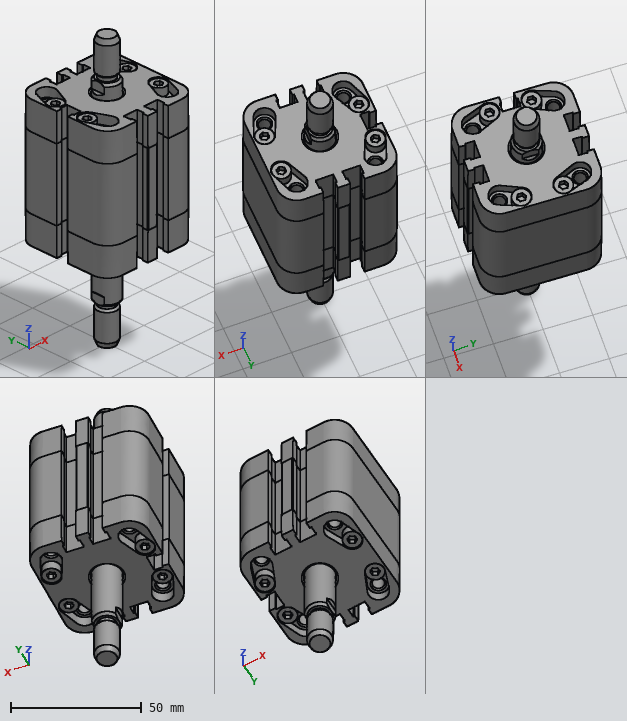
import cadquery as cq
import math


width = 49.0
corner_radius = 8.2
cap_height = 14.2
barrel_length = 35.8
cap_draft = 0.1
draft_angle = math.degrees(math.atan(cap_draft / cap_height))
housing_z = 45.5

slot_mouth = 6.0
slot_undercut = 7.3
slot_lip = 2.8
slot_depth = 6.5
slot_offset = 5.5
rib_bevel = 0.4

rod_dia = 12.0
thread_dia = 10.0
neck_dia = 8.0
tip_dia = 8.0
rod_length = 135
tip_chamfer = 2.5
thread_length = 16.0
neck_end = 18.8
shoulder_chamfer = 1.2
flat_end = 23.2
flats_width = thread_dia

opening_dia = 14.0
opening_throat_dia = 12.5
opening_bevel = 0.7
opening_depth = 2.7

hole_spacing = 32.5
hole_dia = 4.9
hole_mouth_dia = 6.1
pocket_depth = 4.6
pocket_hole_dia = 8.5
pocket_screw_dia = 8.0
screw_x = 19.5
screw_y = 8.5
head_dia = 7.5
head_height = 4.0
socket_size = 3.8
socket_depth = 2.4

half_width = width / 2
hole_place = hole_spacing / 2
barrel_z = housing_z + cap_height
barrel_top_z = barrel_z + barrel_length


def housing_block(height, taper=0):
    """Rounded square prism standing on Z = 0."""
    square = cq.Sketch().rect(width, width).vertices().fillet(corner_radius)
    return cq.Workplane("XY").placeSketch(square).extrude(height, taper=taper)


def t_slot(height):
    """T-slot running along Z and opening at the -Y side, centred on X = 0."""
    undercut_depth = slot_depth - slot_lip
    mouth = cq.Workplane("XY").box(slot_mouth, 2 * slot_lip, height, centered=(True, True, False))
    undercut = cq.Workplane("XY").box(slot_undercut, undercut_depth, height, centered=(True, False, False))
    slot = mouth.union(undercut.translate((0, slot_lip, 0)))
    return slot.translate((0, -half_width, 0))


def cut_t_slots(body, height):
    """Two slots on each Y side and one on the -X side."""
    slot = t_slot(height)
    for side_angle in (0, 180):
        for offset in (-slot_offset, slot_offset):
            paired_slot = slot.translate((offset, 0, 0)).rotate((0, 0, 0), (0, 0, 1), side_angle)
            body = body.cut(paired_slot)
    return body.cut(slot.rotate((0, 0, 0), (0, 0, 1), -90))


def make_barrel():
    body = cut_t_slots(housing_block(barrel_length), barrel_length)
    rib_half_width = slot_offset - slot_mouth / 2
    for x in (-rib_half_width, rib_half_width):
        for y in (-half_width, half_width):
            edge = cq.selectors.NearestToPointSelector((x, y, barrel_length / 2))
            body = body.edges(edge).chamfer(rib_bevel)
    return body.cut(cq.Workplane("XY").circle(rod_dia / 2).extrude(barrel_length))


def pocket_shape():
    """Pear-shaped prism around the hole and the screw of the +X +Y corner."""
    dx = screw_x - hole_place
    dy = screw_y - hole_place
    distance = math.hypot(dx, dy)
    r_hole = pocket_hole_dia / 2
    r_screw = pocket_screw_dia / 2
    line_angle = math.atan2(dy, dx)
    tangent_angle = math.acos((r_hole - r_screw) / distance)

    def rim(x, y, radius, angle):
        return (x + radius * math.cos(angle), y + radius * math.sin(angle))

    left = line_angle + tangent_angle
    right = line_angle - tangent_angle
    return (
        cq.Workplane("XY")
        .moveTo(*rim(hole_place, hole_place, r_hole, left))
        .lineTo(*rim(screw_x, screw_y, r_screw, left))
        .threePointArc(
            rim(screw_x, screw_y, r_screw, line_angle),
            rim(screw_x, screw_y, r_screw, right),
        )
        .lineTo(*rim(hole_place, hole_place, r_hole, right))
        .threePointArc(
            rim(hole_place, hole_place, r_hole, line_angle + math.pi),
            rim(hole_place, hole_place, r_hole, left),
        )
        .close()
        .extrude(pocket_depth)
    )


def corner_cutter():
    """Everything cut from the +X +Y corner of a cap: the pocket around a socket screw head, and a hole."""
    floor_z = cap_height - pocket_depth
    head = (
        cq.Workplane("XY").center(screw_x, screw_y).circle(head_dia / 2).extrude(head_height)
        .faces(">Z").workplane().transformed(rotate=(0, 0, 30)).polygon(6, socket_size).cutBlind(-socket_depth)
    )
    pocket = pocket_shape().cut(head).translate((0, 0, floor_z))
    hole = cq.Workplane("XY").center(hole_place, hole_place).circle(hole_dia / 2).extrude(floor_z)
    bevel = (hole_mouth_dia - hole_dia) / 2
    hole_mouth = (
        cq.Workplane("XY", origin=(hole_place, hole_place, floor_z))
        .circle(hole_mouth_dia / 2)
        .workplane(offset=-bevel)
        .circle(hole_dia / 2)
        .loft()
    )
    return pocket.union(hole).union(hole_mouth)


def rod_opening():
    """Rod bore with a wider bevelled opening at the outer face of a cap."""
    profile = [
        (0, 0),
        (rod_dia / 2, 0),
        (rod_dia / 2, cap_height - opening_depth),
        (opening_throat_dia / 2, cap_height - opening_depth),
        (opening_throat_dia / 2, cap_height - opening_bevel),
        (opening_dia / 2, cap_height),
        (0, cap_height),
    ]
    return cq.Workplane("XZ").polyline(profile).close().revolve(360, (0, 0, 0), (0, 1, 0))


def make_cap():
    """End cap with its inner face on Z = 0 and its outer face up; the screw heads are part of it."""
    body = cut_t_slots(housing_block(cap_height, draft_angle), cap_height)
    body = body.cut(rod_opening())
    cutter = corner_cutter()
    for cutter_x in (cutter, cutter.mirror("YZ")):
        for cutter_xy in (cutter_x, cutter_x.mirror("XZ")):
            body = body.cut(cutter_xy)
    return body


def rod_half():
    """Lower half of the rod, from its tip at Z = 0 to the middle."""
    tip_r = tip_dia / 2
    neck_r = neck_dia / 2
    thread_r = thread_dia / 2
    rod_r = rod_dia / 2
    profile = [
        (0, 0),
        (tip_r, 0),
        (thread_r, tip_chamfer),
        (thread_r, thread_length),
        (neck_r, thread_length + thread_r - neck_r),
        (neck_r, neck_end),
        (thread_r, neck_end),
        (rod_r, neck_end + shoulder_chamfer),
        (rod_r, rod_length / 2),
        (0, rod_length / 2),
    ]
    half = cq.Workplane("XZ").polyline(profile).close().revolve(360, (0, 0, 0), (0, 1, 0))
    flat_x = flats_width / 2
    runout = rod_r - flat_x
    flat = (
        cq.Workplane("XZ")
        .polyline([(flat_x, neck_end), (flat_x, flat_end), (rod_r, flat_end + runout), (rod_r, neck_end)])
        .close()
        .extrude(rod_r, both=True)
    )
    return half.cut(flat).cut(flat.mirror("YZ"))


def make_rod():
    half = rod_half()
    return half.union(half.mirror("XY", (0, 0, rod_length / 2)))


barrel = make_barrel().translate((0, 0, barrel_z))
rod = make_rod()
cap = make_cap()
top_cap = cap.translate((0, 0, barrel_top_z))
bottom_cap = cap.mirror("XY").translate((0, 0, barrel_z))

result = cq.Compound.makeCompound([barrel.val(), top_cap.val(), bottom_cap.val(), rod.val()])